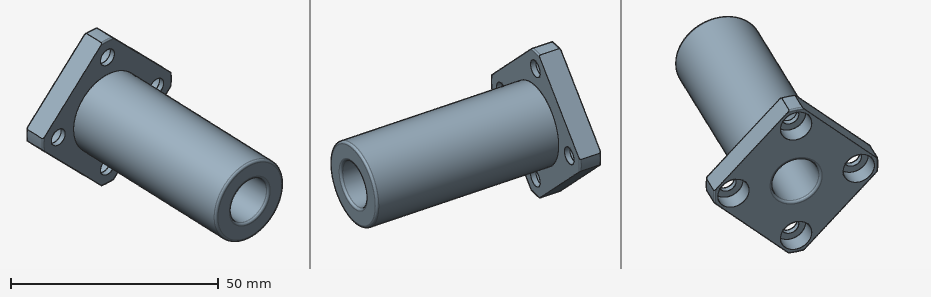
import cadquery as cq

total_length = 57.0
flange_diameter = 41.95
flange_side = 32.0
flange_thickness = 6.0
flange_edge_radius = 0.4

sleeve_diameter = 22.0
sleeve_end_radius = 0.6
bore_diameter = 12.0
bore_radius = bore_diameter / 2
bore_edge_radius = 0.6

bolt_circle_diameter = 32.0
bolt_hole_diameter = 4.5
counterbore_diameter = 8.0
counterbore_depth = 4.5


def make_flange():
    """Square plate standing on a corner, its corners rounded by a disc with filleted rims."""
    disc = (
        cq.Workplane("YZ")
        .circle(flange_diameter / 2)
        .extrude(flange_thickness)
        .edges()
        .fillet(flange_edge_radius)
    )
    plate = (
        cq.Workplane("YZ")
        .transformed(rotate=(0, 0, 45))
        .rect(flange_side, flange_side)
        .extrude(flange_thickness)
    )
    return plate.intersect(disc)


def make_sleeve():
    """Cylinder along X with its free end rounded."""
    return (
        cq.Workplane("YZ")
        .circle(sleeve_diameter / 2)
        .extrude(total_length)
        .faces(">X")
        .edges()
        .fillet(sleeve_end_radius)
    )


def make_bore():
    """Through bore that flares in a convex round at each end."""
    return (
        cq.Workplane("XY")
        .lineTo(0, bore_radius + bore_edge_radius)
        .radiusArc((bore_edge_radius, bore_radius), -bore_edge_radius)
        .lineTo(total_length - bore_edge_radius, bore_radius)
        .radiusArc((total_length, bore_radius + bore_edge_radius), -bore_edge_radius)
        .lineTo(total_length, 0)
        .close()
        .revolve(360, (0, 0, 0), (1, 0, 0))
    )


def make_bolt_holes():
    """Four counterbored holes, one near each corner of the flange."""
    def cylinders(diameter, depth):
        return (
            cq.Workplane("YZ")
            .polarArray(bolt_circle_diameter / 2, 0, 360, 4)
            .circle(diameter / 2)
            .extrude(depth)
        )

    through_holes = cylinders(bolt_hole_diameter, flange_thickness)
    return through_holes.union(cylinders(counterbore_diameter, counterbore_depth))


result = make_flange().union(make_sleeve()).cut(make_bore()).cut(make_bolt_holes())